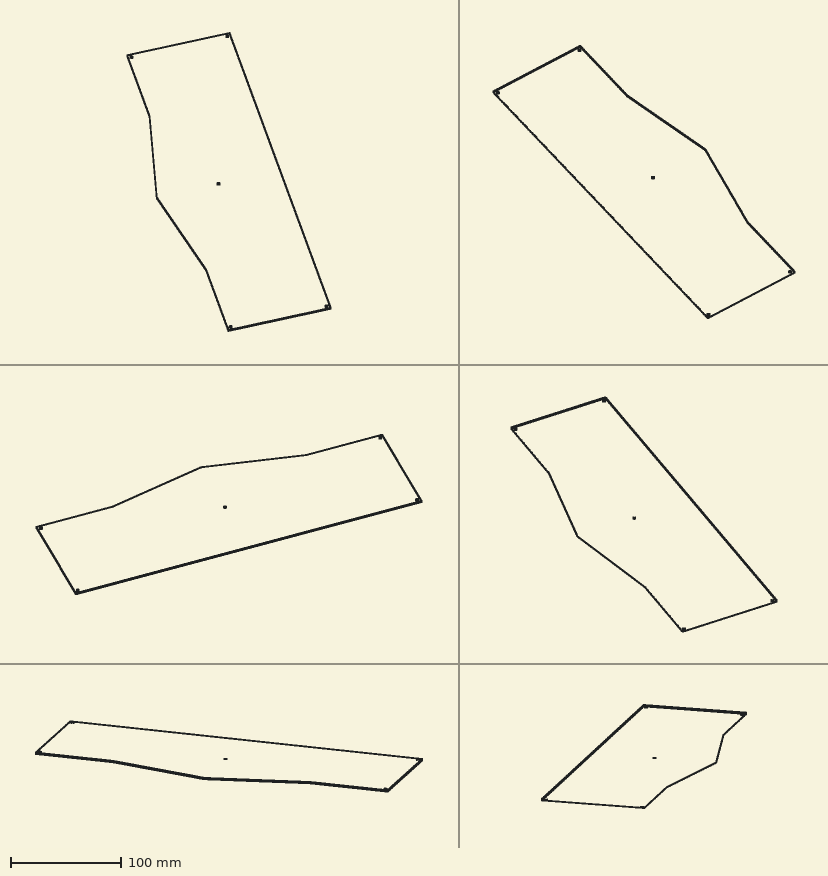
import cadquery as cq

length = 337.2
depth = 116.5
thickness = 1.52
side_depth = 96.5
point_width = 189.0

hole_diameter = 2.2
hole_inset = 3.0

half_length = length / 2
back_y = depth / 2
front_tip_y = -depth / 2
front_edge_y = back_y - side_depth


def make_plate():
    """Flat rectangular plate whose front edge runs out to a shallow point."""
    outline = [
        (-half_length, back_y),
        (-half_length, front_edge_y),
        (-point_width / 2, front_edge_y),
        (0, front_tip_y),
        (point_width / 2, front_edge_y),
        (half_length, front_edge_y),
        (half_length, back_y),
    ]
    return cq.Workplane("XY").polyline(outline).close().extrude(thickness)


def make_holes():
    """Through holes in the four corners and one in the middle of the plate."""
    hole_x = half_length - hole_inset
    centres = [(0, 0)]
    for x in (-hole_x, hole_x):
        for y in (front_edge_y + hole_inset, back_y - hole_inset):
            centres.append((x, y))
    return cq.Workplane("XY").pushPoints(centres).circle(hole_diameter / 2).extrude(thickness)


result = make_plate().cut(make_holes())